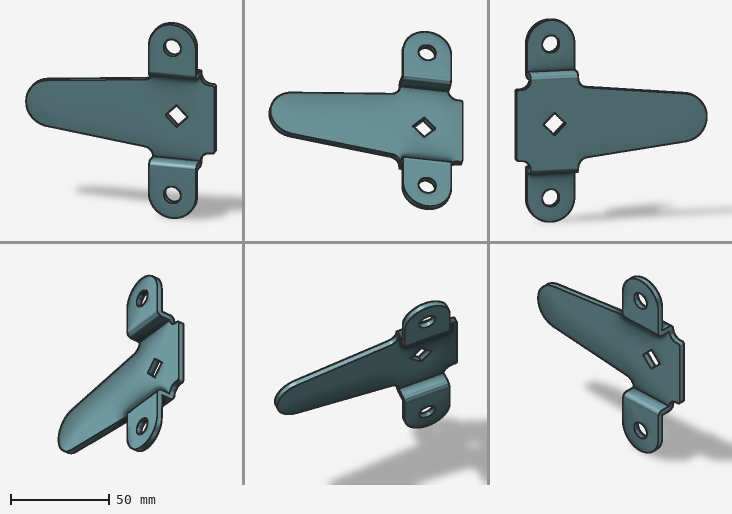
import cadquery as cq
import math

thickness = 3.1
depth = 11.2
web_inner_height = 23.0
web_outer_height = web_inner_height + thickness
bend_radius = thickness

half_height = 52.5
end_radius = 12.5
tab_center_height = half_height - end_radius
tip_x = -80.0
tip_center_x = tip_x + end_radius
back_edge_x = 20.0
shoulder_height = 18.5
neck_radius = 5.0
corner_radius = 1.4
taper_angle = math.radians(6.3)

hole_diameter = 9.0
square_side = 8.3


def taper_height(x):
    """Height at x of the straight edge tangent to the rounded tip."""
    return end_radius / math.cos(taper_angle) + (x - tip_center_x) * math.tan(taper_angle)


def arc_point(x, z, radius, angle):
    return x + radius * math.cos(angle), z + radius * math.sin(angle)


def upper_outline():
    """Solid blank of the upper half outline, spanning the full depth."""
    normal_angle = math.pi / 2 + taper_angle
    tip_mid_angle = (math.pi + normal_angle) / 2
    front_neck_x = -end_radius - neck_radius
    front_neck_z = taper_height(front_neck_x) + neck_radius / math.cos(taper_angle)
    neck_start_angle = normal_angle - math.pi
    rear_neck_x = end_radius + neck_radius
    rear_neck_z = shoulder_height + neck_radius
    corner_x = back_edge_x - corner_radius
    corner_z = shoulder_height - corner_radius
    return (
        cq.Workplane("XZ")
        .moveTo(tip_x, 0)
        .threePointArc(
            arc_point(tip_center_x, 0, end_radius, tip_mid_angle),
            arc_point(tip_center_x, 0, end_radius, normal_angle),
        )
        .lineTo(*arc_point(front_neck_x, front_neck_z, neck_radius, neck_start_angle))
        .threePointArc(
            arc_point(front_neck_x, front_neck_z, neck_radius, neck_start_angle / 2),
            (-end_radius, front_neck_z),
        )
        .lineTo(-end_radius, tab_center_height)
        .threePointArc((0, half_height), (end_radius, tab_center_height))
        .lineTo(end_radius, rear_neck_z)
        .threePointArc(
            arc_point(rear_neck_x, rear_neck_z, neck_radius, -3 * math.pi / 4),
            (rear_neck_x, shoulder_height),
        )
        .lineTo(corner_x, shoulder_height)
        .threePointArc(
            arc_point(corner_x, corner_z, corner_radius, math.pi / 4),
            (back_edge_x, corner_z),
        )
        .lineTo(back_edge_x, 0)
        .close()
        .extrude(depth)
    )


def upper_folded_sheet():
    """Upper half of the joggled sheet section, extruded over the full length."""
    diagonal = math.pi / 4
    back_bend_y = -bend_radius
    back_bend_z = web_outer_height - bend_radius
    front_bend_y = bend_radius - depth
    front_bend_z = web_inner_height + bend_radius
    return (
        cq.Workplane("YZ", origin=(tip_x, 0, 0))
        .moveTo(0, 0)
        .lineTo(0, back_bend_z)
        .threePointArc(
            arc_point(back_bend_y, back_bend_z, bend_radius, diagonal),
            (back_bend_y, web_outer_height),
        )
        .lineTo(thickness - depth, web_outer_height)
        .lineTo(thickness - depth, half_height)
        .lineTo(-depth, half_height)
        .lineTo(-depth, front_bend_z)
        .threePointArc(
            arc_point(front_bend_y, front_bend_z, bend_radius, diagonal - math.pi),
            (front_bend_y, web_inner_height),
        )
        .lineTo(-thickness, web_inner_height)
        .lineTo(-thickness, 0)
        .close()
        .extrude(back_edge_x - tip_x)
    )


def opening_cutters():
    """Round holes in both tabs and a square hole on its corner in the plate."""
    square = cq.Workplane("XZ").transformed(rotate=(0, 0, 45)).rect(square_side, square_side).extrude(depth)
    holes = (
        cq.Workplane("XZ")
        .pushPoints([(0, tab_center_height), (0, -tab_center_height)])
        .circle(hole_diameter / 2)
        .extrude(depth)
    )
    return square.union(holes)


upper_half = upper_folded_sheet().intersect(upper_outline())
bracket = upper_half.union(upper_half.mirror("XY")).clean()
result = bracket.cut(opening_cutters())